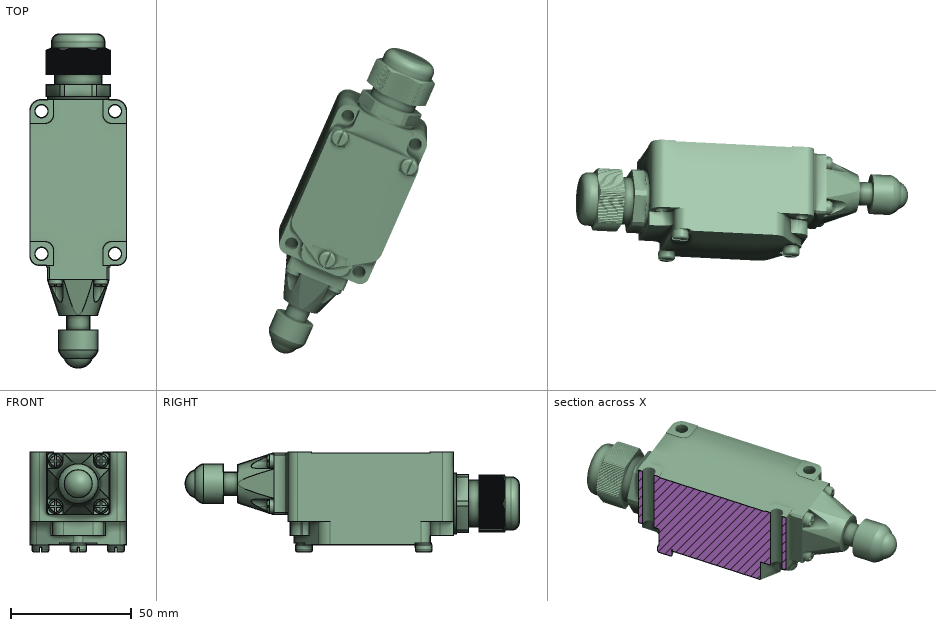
import cadquery as cq
import math


BOX_WIDTH = 40.0
BOX_LENGTH = 68.6
BOX_TOP = 28.5
REAR_CORNER_RADIUS = 4.7
FRONT_CORNER_RADIUS = 3.9
HALF_WIDTH = BOX_WIDTH / 2
BOX_REAR = BOX_LENGTH / 2
BOX_FRONT = -BOX_LENGTH / 2

PAD_HEIGHT = 0.4
PAD_WIDTH = 9.8
PAD_LENGTH = 9.85
PAD_CORNER_RADIUS = 3.6
HOLE_DIAMETER = 5.3
HOLE_INSET = 4.8

COVER_DEPTH = 9.6
COVER_REAR = 24.7
COVER_REAR_RADIUS = 4.0
COVER_SHOULDER = -20.0
COVER_APEX = -32.5
COVER_SHOULDER_RADIUS = 5.6
COVER_NOSE_RADIUS = 3.65

END_DEPTH = 5.8
TONGUE_HALF_WIDTH = HALF_WIDTH - 2 * COVER_REAR_RADIUS
FRONT_END_HALF_WIDTH = 11.2
FRONT_END_STEP = 0.6
FRONT_END_STEP_Y = -28.4
FRONT_END_Y = -33.4
FRONT_END_RADIUS = 4.4

SEAT_RELIEF = 0.75
NOSE_SEAT_HALF_WIDTH = 7.85
COVER_SCREW_RADIUS = 3.5
COVER_SCREW_NECK_RADIUS = 3.3
COVER_SCREW_HEIGHT = 3.75
COVER_SCREW_ROUNDING = 1.0
COVER_SLOT_WIDTH = 0.8
COVER_SLOT_DEPTH = 2.0
COVER_SCREWS = [(0, -27.6), (-15.6, 21.9), (15.6, 21.9)]

HEAD_HALF = 12.8
HEAD_AXIS_Z = BOX_TOP - HEAD_HALF
COLLAR_LIP = 0.4
COLLAR_LENGTH = 0.7
HEAD_BLOCK_LENGTH = 5.8
HEAD_CHAMFER = 0.9
TAPER_LENGTH = 15.0
TAPER_END_HALF = 7.9
TAPER_END_RADIUS = 7.87
FLAT_HALF_WIDTH = 6.1
TAPER_BASE_RADIUS = math.hypot(HEAD_HALF, FLAT_HALF_WIDTH)
TAPER_START = BOX_FRONT - HEAD_BLOCK_LENGTH
TAPER_END = TAPER_START - TAPER_LENGTH

HEAD_SCREW_OFFSET = 9.4
POCKET_RADIUS = 3.05
POCKET_START = HEAD_SCREW_OFFSET - POCKET_RADIUS
HEAD_SCREW_RADIUS = 3.0
HEAD_SCREW_HEIGHT = 2.9
HEAD_SCREW_CHAMFER = (1.1, 0.8)
CROSS_WIDTH = 0.8
CROSS_LENGTH = 4.8
CROSS_DEPTH = 1.0

GLAND_AXIS_Z = 7.5
FLANGE_RADIUS = 12.7
FLANGE_LENGTH = 1.2
HEX_FLATS = 24.1
HEX_LENGTH = 5.0
CORNER_RADIUS = 13.3
NECK_RADIUS = 9.8
NECK_LENGTH = 4.2
NUT_FLATS = 23.5
NUT_LENGTH = 10.9
NUT_END_RADIUS = 11.2
NUT_CHAMFER_LENGTH = 1.0
RIB_COUNT = 120
RIB_DEPTH = 0.2
DOME_RADIUS = 11.05
DOME_LENGTH = 5.9
DOME_ROUNDING = 3.4

STEM_RADIUS = 4.85
STEM_LENGTH = 5.9
CAP_RADIUS = 8.25
CAP_STRAIGHT = 8.3
SHOULDER_MID = (7.3, 2.0)
SHOULDER_END = (5.8, 3.5)
TIP_LENGTH = 4.0


def box_at(x_range, y_range, z_range):
    """Block between the given limits on the three axes."""
    size = [high - low for low, high in (x_range, y_range, z_range)]
    corner = (x_range[0], y_range[0], z_range[0])
    return cq.Workplane("XY").box(*size, centered=False).translate(corner)


def facing_front(y, z):
    """Workplane at height z whose normal is -Y: local x is +X, local y is +Z."""
    return cq.Workplane("XZ", origin=(0, y, z))


def facing_rear(y, z):
    """Workplane at height z whose normal is +Y: local x is -X, local y is +Z."""
    return cq.Workplane("XZ", origin=(0, y, z)).transformed(rotate=(0, 180, 0))


def make_box():
    """Main box with raised pads at the corners."""
    height = BOX_TOP + PAD_HEIGHT
    box = cq.Workplane("XY").rect(BOX_WIDTH, BOX_LENGTH).extrude(height)
    box = box.edges("|Z and >Y").fillet(REAR_CORNER_RADIUS)
    box = box.edges("|Z and <Y").fillet(FRONT_CORNER_RADIUS)

    pad_layer = (BOX_TOP, height)
    lowered = cq.Workplane("XY", origin=(0, 0, BOX_TOP)).rect(BOX_WIDTH, BOX_LENGTH).extrude(PAD_HEIGHT)
    for side in (-1, 1):
        for end in (-1, 1):
            x_range = sorted((side * (HALF_WIDTH - PAD_WIDTH), side * HALF_WIDTH))
            y_range = sorted((end * (BOX_REAR - PAD_LENGTH), end * BOX_REAR))
            inner_edge = ("<X" if side > 0 else ">X") + " and " + ("<Y" if end > 0 else ">Y")
            pad = box_at(x_range, y_range, pad_layer)
            pad = pad.edges("|Z and " + inner_edge).fillet(PAD_CORNER_RADIUS)
            lowered = lowered.cut(pad)
    return box.cut(lowered)


def make_cover():
    """Cover under the box: pointed at the front, with relieved seats for its screws."""
    cover = (
        cq.Workplane("XY")
        .polyline(
            [
                (-HALF_WIDTH, COVER_REAR),
                (-HALF_WIDTH, COVER_SHOULDER),
                (0, COVER_APEX),
                (HALF_WIDTH, COVER_SHOULDER),
                (HALF_WIDTH, COVER_REAR),
            ]
        )
        .close()
        .extrude(-COVER_DEPTH)
    )
    cover = cover.edges("|Z and >Y").fillet(COVER_REAR_RADIUS)
    cover = cover.edges("|Z and <Y").fillet(COVER_NOSE_RADIUS)
    shoulders = cq.selectors.BoxSelector(
        (-BOX_WIDTH, COVER_SHOULDER - COVER_NOSE_RADIUS, -COVER_DEPTH),
        (BOX_WIDTH, COVER_SHOULDER + COVER_NOSE_RADIUS, 0),
    )
    cover = cover.edges("|Z").edges(shoulders).fillet(COVER_SHOULDER_RADIUS)

    relief = (-COVER_DEPTH, SEAT_RELIEF - COVER_DEPTH)
    for x, y in COVER_SCREWS:
        if x == 0:
            x_range = (-NOSE_SEAT_HALF_WIDTH, NOSE_SEAT_HALF_WIDTH)
            y_range = (COVER_APEX, y + COVER_SCREW_RADIUS)
        else:
            side = math.copysign(1, x)
            x_range = sorted((x - side * COVER_SCREW_RADIUS, side * HALF_WIDTH))
            y_range = (y - COVER_SCREW_RADIUS, COVER_REAR)
        cover = cover.cut(box_at(x_range, y_range, relief))
    return cover


def make_rear_end():
    """Tongue under the rear of the box, blended into the rear edge of the cover."""
    blend = COVER_REAR_RADIUS
    diagonal = blend * (1 - math.sqrt(0.5))
    half = TONGUE_HALF_WIDTH
    return (
        cq.Workplane("XY")
        .moveTo(half, BOX_REAR)
        .lineTo(half, COVER_REAR + blend)
        .threePointArc((half + diagonal, COVER_REAR + diagonal), (half + blend, COVER_REAR))
        .lineTo(half, COVER_REAR - blend)
        .lineTo(-half, COVER_REAR - blend)
        .lineTo(-half - blend, COVER_REAR)
        .threePointArc((-half - diagonal, COVER_REAR + diagonal), (-half, COVER_REAR + blend))
        .lineTo(-half, BOX_REAR)
        .close()
        .extrude(-END_DEPTH)
    )


def make_front_end():
    """Shallow block under the front of the box, stepped in and rounded at its front corners."""
    depth = (-END_DEPTH, 0)
    wide = FRONT_END_HALF_WIDTH
    narrow = wide - FRONT_END_STEP
    front = box_at((-narrow, narrow), (FRONT_END_Y, COVER_SHOULDER), depth)
    front = front.edges("|Z and <Y").fillet(FRONT_END_RADIUS)
    return front.union(box_at((-wide, wide), (FRONT_END_STEP_Y, COVER_SHOULDER), depth))


def make_cover_screw(x, y):
    """Slotted screw head on a narrower neck that hangs from its seat under the cover."""
    seat_z = SEAT_RELIEF - COVER_DEPTH
    bottom = seat_z - COVER_SCREW_HEIGHT
    head_height = COVER_SCREW_HEIGHT - SEAT_RELIEF
    screw = cq.Workplane("XY", origin=(x, y, bottom)).circle(COVER_SCREW_RADIUS).extrude(head_height)
    screw = screw.faces("<Z").edges().fillet(COVER_SCREW_ROUNDING)
    neck = cq.Workplane("XY", origin=(x, y, seat_z)).circle(COVER_SCREW_NECK_RADIUS).extrude(-SEAT_RELIEF)
    screw = screw.union(neck)
    slot = box_at(
        (x - COVER_SLOT_WIDTH / 2, x + COVER_SLOT_WIDTH / 2),
        (y - COVER_SCREW_RADIUS, y + COVER_SCREW_RADIUS),
        (bottom, bottom + COVER_SLOT_DEPTH),
    )
    return screw.cut(slot)


def make_head_screw(x, z):
    """Cross-slotted screw head in a corner pocket of the plunger head."""
    base = facing_front(TAPER_START, HEAD_AXIS_Z).center(x, z)
    screw = base.circle(HEAD_SCREW_RADIUS).extrude(HEAD_SCREW_HEIGHT)
    screw = screw.faces("<Y").edges().chamfer(*HEAD_SCREW_CHAMFER)
    slot_plane = facing_front(TAPER_START - HEAD_SCREW_HEIGHT + CROSS_DEPTH, HEAD_AXIS_Z).center(x, z)
    for size in ((CROSS_WIDTH, CROSS_LENGTH), (CROSS_LENGTH, CROSS_WIDTH)):
        screw = screw.cut(slot_plane.rect(*size).extrude(CROSS_DEPTH))
    return screw


def make_corner_pocket(x_side, z_side):
    """Tool for a pocket that is round towards the axis and open at the corner."""
    pocket = (
        facing_front(TAPER_START, HEAD_AXIS_Z)
        .center(x_side * HEAD_SCREW_OFFSET, z_side * HEAD_SCREW_OFFSET)
        .circle(POCKET_RADIUS)
        .extrude(TAPER_LENGTH)
    )
    spans = ((POCKET_START, HEAD_SCREW_OFFSET), (HEAD_SCREW_OFFSET, POCKET_START))
    for x_start, z_start in spans:
        opening = (
            facing_front(TAPER_START, HEAD_AXIS_Z)
            .moveTo(x_side * x_start, z_side * z_start)
            .lineTo(x_side * (x_start + HEAD_HALF), z_side * z_start)
            .lineTo(x_side * (x_start + HEAD_HALF), z_side * (z_start + HEAD_HALF))
            .lineTo(x_side * x_start, z_side * (z_start + HEAD_HALF))
            .close()
            .extrude(TAPER_LENGTH)
        )
        pocket = pocket.union(opening)
    return pocket


def make_head():
    """Square head block with a taper that changes from four flats to a round end."""
    side = 2 * HEAD_HALF
    block = facing_front(BOX_FRONT, HEAD_AXIS_Z).rect(side, side).extrude(HEAD_BLOCK_LENGTH)
    block = block.edges("|Y").chamfer(HEAD_CHAMFER)
    collar = (
        facing_front(BOX_FRONT, HEAD_AXIS_Z)
        .rect(side + 2 * COLLAR_LIP, side)
        .extrude(COLLAR_LENGTH)
        .edges("|Y and <Z")
        .chamfer(HEAD_CHAMFER)
    )

    end_side = 2 * TAPER_END_HALF
    pyramid = (
        facing_front(TAPER_START, HEAD_AXIS_Z)
        .rect(side, side)
        .workplane(offset=TAPER_LENGTH)
        .rect(end_side, end_side)
        .loft(ruled=True)
    )
    cone = (
        facing_front(TAPER_START, HEAD_AXIS_Z)
        .circle(TAPER_BASE_RADIUS)
        .workplane(offset=TAPER_LENGTH)
        .circle(TAPER_END_RADIUS)
        .loft(ruled=True)
    )
    taper = pyramid.intersect(cone)

    corners = [(x_side, z_side) for x_side in (-1, 1) for z_side in (-1, 1)]
    for x_side, z_side in corners:
        taper = taper.cut(make_corner_pocket(x_side, z_side))
    head = block.union(collar).union(taper)
    for x_side, z_side in corners:
        head = head.union(make_head_screw(x_side * HEAD_SCREW_OFFSET, z_side * HEAD_SCREW_OFFSET))
    return head


def hexagon_radius(angle, flats):
    """Distance from the axis to a hexagon with flats at top and bottom and cut-off corners."""
    sixth = math.pi / 3
    from_corner = (angle + sixth / 2) % sixth - sixth / 2
    to_flat = flats / 2 / math.cos(sixth / 2 - abs(from_corner))
    to_corner_cut = CORNER_RADIUS / math.cos(from_corner)
    return min(to_flat, to_corner_cut)


def make_gland_hexagon(y):
    """Hexagon with cut-off corners that screws the gland into the box."""
    cut_half_width = (HEX_FLATS / math.sqrt(3) - CORNER_RADIUS) * math.tan(math.pi / 3)
    cut_half_angle = math.atan2(cut_half_width, CORNER_RADIUS)
    cut_end_radius = math.hypot(CORNER_RADIUS, cut_half_width)
    points = []
    for corner in range(6):
        for side in (-1, 1):
            angle = corner * math.pi / 3 + side * cut_half_angle
            points.append((cut_end_radius * math.cos(angle), cut_end_radius * math.sin(angle)))
    return facing_rear(y, GLAND_AXIS_Z).polyline(points).close().extrude(HEX_LENGTH)


def make_gland_nut(y):
    """Ribbed hexagonal cap nut with a conical chamfer at its outer end."""
    points = []
    for step in range(2 * RIB_COUNT):
        angle = step * math.pi / RIB_COUNT
        radius = hexagon_radius(angle, NUT_FLATS) - RIB_DEPTH * (step % 2)
        points.append((radius * math.cos(angle), radius * math.sin(angle)))
    nut = facing_rear(y, GLAND_AXIS_Z).polyline(points).close().extrude(NUT_LENGTH)
    envelope_radius = CORNER_RADIUS + RIB_DEPTH
    envelope = facing_rear(y, GLAND_AXIS_Z).circle(envelope_radius).extrude(NUT_LENGTH)
    envelope = envelope.faces(">Y").edges().chamfer(NUT_CHAMFER_LENGTH, envelope_radius - NUT_END_RADIUS)
    return nut.intersect(envelope)


def make_gland():
    """Cable gland: flange, hexagon, neck, ribbed nut and rounded end, stacked along +Y."""
    y = BOX_REAR
    gland = facing_rear(y, GLAND_AXIS_Z).circle(FLANGE_RADIUS).extrude(FLANGE_LENGTH)
    y += FLANGE_LENGTH
    gland = gland.union(make_gland_hexagon(y))
    y += HEX_LENGTH
    gland = gland.union(facing_rear(y, GLAND_AXIS_Z).circle(NECK_RADIUS).extrude(NECK_LENGTH))
    y += NECK_LENGTH
    gland = gland.union(make_gland_nut(y))
    y += NUT_LENGTH
    dome = facing_rear(y, GLAND_AXIS_Z).circle(DOME_RADIUS).extrude(DOME_LENGTH)
    dome = dome.faces(">Y").edges().fillet(DOME_ROUNDING)
    return gland.union(dome)


def make_housing():
    """Fixed body: box, cover, plunger head, screws and cable gland."""
    housing = make_box().union(make_cover()).union(make_rear_end()).union(make_front_end())
    for x, y in COVER_SCREWS:
        housing = housing.union(make_cover_screw(x, y))
    housing = housing.union(make_head()).union(make_gland())

    x_spacing = BOX_WIDTH - 2 * HOLE_INSET
    y_spacing = BOX_LENGTH - 2 * HOLE_INSET
    holes = (
        cq.Workplane("XY")
        .rect(x_spacing, y_spacing, forConstruction=True)
        .vertices()
        .circle(HOLE_DIAMETER / 2)
        .extrude(BOX_TOP + PAD_HEIGHT)
    )
    return housing.cut(holes)


def make_plunger():
    """Plunger turned about its axis: stem, cap and spherical tip; it meets the round end of the head."""
    shoulder_start = STEM_LENGTH + CAP_STRAIGHT
    shoulder_end = shoulder_start + SHOULDER_END[1]
    tip = shoulder_end + TIP_LENGTH
    tip_radius = (SHOULDER_END[0] ** 2 + TIP_LENGTH**2) / (2 * TIP_LENGTH)
    tip_angle = math.asin(SHOULDER_END[0] / tip_radius) / 2
    tip_mid = (tip_radius * math.sin(tip_angle), tip - tip_radius * (1 - math.cos(tip_angle)))
    axis_base = cq.Plane(origin=(0, TAPER_END, HEAD_AXIS_Z), xDir=(0, 0, 1), normal=(1, 0, 0))
    return (
        cq.Workplane(axis_base)
        .lineTo(STEM_RADIUS, 0)
        .lineTo(STEM_RADIUS, STEM_LENGTH)
        .lineTo(CAP_RADIUS, STEM_LENGTH)
        .lineTo(CAP_RADIUS, shoulder_start)
        .threePointArc((SHOULDER_MID[0], shoulder_start + SHOULDER_MID[1]), (SHOULDER_END[0], shoulder_end))
        .threePointArc(tip_mid, (0, tip))
        .close()
        .revolve(360, (0, 0, 0), (0, 1, 0))
    )


housing = make_housing()
plunger = make_plunger()
result = cq.Compound.makeCompound([housing.solids().val(), plunger.solids().val()])